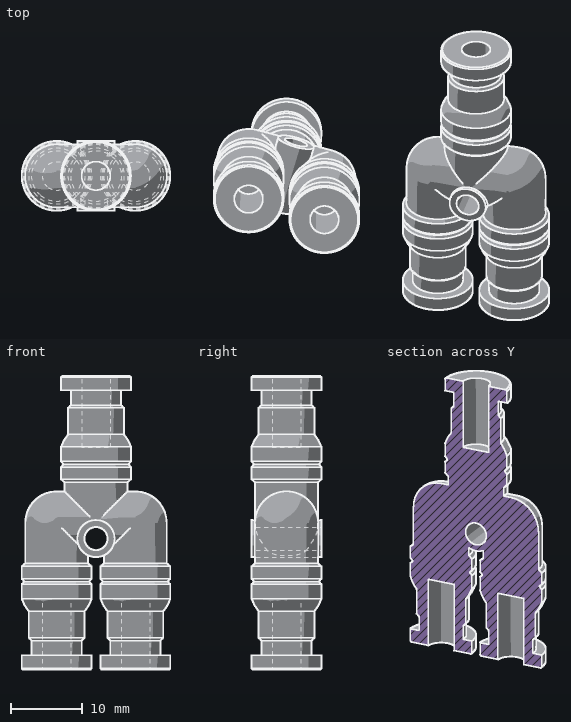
import cadquery as cq

height = 41.1
end_z = height / 2
leg_x = 5.5

ring_d = 9.8
tube_d = 8.82
collar_d = 7.84
neck_d = 7.06
bore_d = 4.0
groove_depth = 0.35

flange_length = 2.05
flange_chamfer = 0.2
neck_length = 2.05
collar_chamfer = (collar_d - neck_d) / 2
collar_length = 4.1
shoulder_length = 1.75
shoulder_radius = 5.0
outer_ring_length = 2.0
groove_width = 0.8
inner_ring_length = 1.7
ring_chamfer = 0.45
bore_depth = 10.0

eyelet_d = 5.2
eyelet_hole_d = 3.2
eyelet_length = ring_d
eyelet_z = -2.2


def make_branch():
    """Upward branch, turned about Z, from the center plane to its open end."""
    ring_r = ring_d / 2
    tube_r = tube_d / 2
    collar_r = collar_d / 2
    neck_r = neck_d / 2

    flange_z = end_z - flange_length
    collar_z = flange_z - neck_length
    shoulder_top_z = collar_z - collar_length
    shoulder_low_z = shoulder_top_z - shoulder_length
    groove_top_z = shoulder_low_z - outer_ring_length
    groove_low_z = groove_top_z - groove_width
    ring_low_z = groove_low_z - inner_ring_length

    return (
        cq.Workplane("XZ")
        .lineTo(tube_r, 0)
        .lineTo(tube_r, ring_low_z - ring_chamfer)
        .lineTo(ring_r, ring_low_z)
        .lineTo(ring_r, groove_low_z)
        .lineTo(ring_r - groove_depth, (groove_low_z + groove_top_z) / 2)
        .lineTo(ring_r, groove_top_z)
        .lineTo(ring_r, shoulder_low_z)
        .radiusArc((collar_r, shoulder_top_z), -shoulder_radius)
        .lineTo(collar_r, collar_z - collar_chamfer)
        .lineTo(neck_r, collar_z)
        .lineTo(neck_r, flange_z)
        .lineTo(ring_r, flange_z)
        .lineTo(ring_r, end_z - flange_chamfer)
        .lineTo(ring_r - flange_chamfer, end_z)
        .lineTo(0, end_z)
        .close()
        .revolve(360, (0, 0, 0), (0, 1, 0))
    )


def make_bore():
    """Blind bore running down from the open end of the upward branch."""
    return cq.Workplane("XY").workplane(offset=end_z - bore_depth).circle(bore_d / 2).extrude(bore_depth)


def make_leg(x):
    """Downward branch at the given X, topped by a ball that rounds the elbow."""
    dome = (
        cq.Workplane("XZ")
        .lineTo(tube_d / 2, 0)
        .radiusArc((0, tube_d / 2), -tube_d / 2)
        .close()
        .revolve(360, (0, 0, 0), (0, 1, 0))
    )
    return point_down(make_branch(), x).union(dome.translate((x, 0, 0)))


def point_down(shape, x):
    """The given upward shape turned upside down and moved to the given X."""
    return shape.rotate((0, 0, 0), (1, 0, 0), 180).translate((x, 0, 0))


def make_crossbar():
    """Horizontal tube joining the two legs at their tops."""
    return cq.Workplane("YZ").circle(tube_d / 2).extrude(leg_x, both=True)


def make_eyelet_cylinder(diameter):
    """Cylinder along Y, centered on the eyelet."""
    return cq.Workplane("XZ").center(0, eyelet_z).circle(diameter / 2).extrude(eyelet_length / 2, both=True)


result = make_crossbar().union(make_branch())
for side_x in (-leg_x, leg_x):
    result = result.union(make_leg(side_x))
result = result.union(make_eyelet_cylinder(eyelet_d))
result = result.cut(make_eyelet_cylinder(eyelet_hole_d))

result = result.cut(make_bore())
for side_x in (-leg_x, leg_x):
    result = result.cut(point_down(make_bore(), side_x))